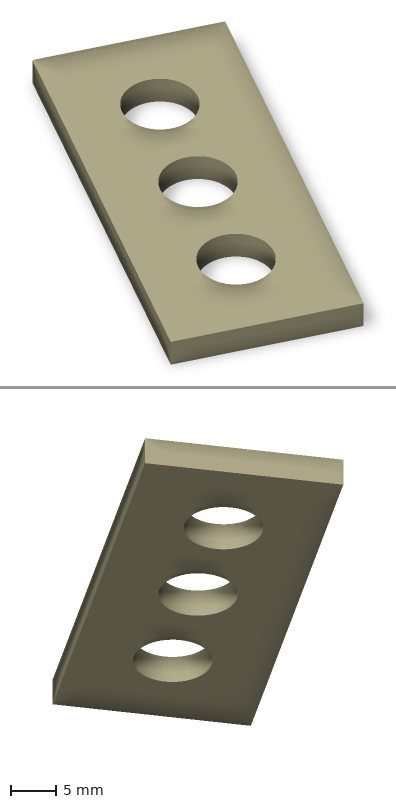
import cadquery as cq

plate_length = 50.8
plate_width = 22.225
plate_thickness = 3.25

hole_diameter = 8.73
hole_count = 3
hole_spacing = 13.97


def make_plate():
    """Flat rectangular plate, centred on the Z axis with its underside at Z = 0."""
    return cq.Workplane("XY").box(
        plate_length, plate_width, plate_thickness, centered=(True, True, False)
    )


def drill_hole_row(body):
    """Drill the evenly spaced holes, centred on the plate, along X."""
    return (
        body.faces(">Z")
        .workplane(centerOption="CenterOfBoundBox")
        .rarray(hole_spacing, plate_width, hole_count, 1)
        .hole(hole_diameter)
    )


result = drill_hole_row(make_plate())